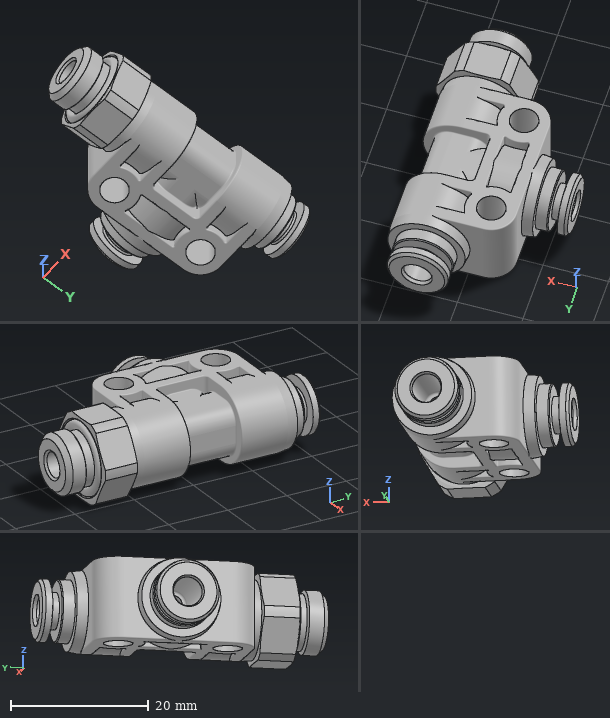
import cadquery as cq
import math


barrel_radius = 6.15
block_reach = 12.15
hole_offset = 8.2
hole_radius = 2.15
boss_radius = block_reach - hole_offset
pocket_half_width = 1.9
pocket_corner_radius = 0.17
edge_round = 0.2

waist_reach = 4.35
waist_bar_round = 2.9
waist_corner_radius = 0.75

port_end = 18.6
release_flange_base = 17.15
collar_end = 15.75
shoulder_end = 13.8
shoulder_radius = 5.9
collar_radius = 4.68
neck_radius = 2.75
neck_root_radius = 2.9
neck_root_length = 0.35
flange_chamfer = 0.45
collar_chamfer = 0.17

passage_radius = 1.5
socket_radius = 2.15
socket_mouth_radius = 2.35
socket_mouth_length = 0.55
socket_floor = 7.9
socket_floor_round = 0.4
stud_bore_radius = 1.97
stud_mouth_radius = 2.3

overall_length = 42.9
stud_end = overall_length - port_end
hex_start = shoulder_end
hex_end = 19.45
hex_across_flats = 13.0
hex_turn = 30
hex_corner_radius = 7.08
hex_face_radius = 6.455
hex_chamfer_length = 0.15
relief_radius = 4.25
thread_radius = 4.8
thread_start = 21.25
thread_run_in = 0.25
thread_chamfer = 0.8

ring_section_radius = 0.77
ring_radius = relief_radius + ring_section_radius
ring_centre_depth = 0.35
ring_station = hex_end - ring_centre_depth
groove_radius = 5.85
groove_chamfer = 0.17


def turned(profile):
    """Revolve (radius, station) points around the Z axis."""
    return cq.Workplane("XZ").polyline(profile).close().revolve(360, (0, 0, 0), (0, 1, 0))


def towards_plus_y(shape):
    return shape.rotate((0, 0, 0), (1, 0, 0), -90)


def towards_minus_y(shape):
    return shape.rotate((0, 0, 0), (1, 0, 0), 90)


def towards_minus_x(shape):
    return shape.rotate((0, 0, 0), (0, 1, 0), -90)


def slab(x_min, x_max, y_min, y_max, half_height):
    """A box that is symmetric about the XY plane."""
    return cq.Workplane("XY").box(
        x_max - x_min, y_max - y_min, 2 * half_height
    ).translate(((x_min + x_max) / 2, (y_min + y_max) / 2, 0))


def make_plate():
    """Mounting block with pockets around the hole bosses and an open waist, edges rounded."""
    plate = slab(-block_reach, 0, -block_reach, block_reach, barrel_radius)
    plate = plate.edges("|Z and <X").fillet(boss_radius)

    inner = hole_offset - pocket_half_width
    outer = hole_offset + pocket_half_width
    pockets = slab(-outer, -inner, -hole_offset, hole_offset, barrel_radius)
    for side in (-1, 1):
        y_low, y_high = sorted((side * inner, side * outer))
        pockets = pockets.union(slab(-hole_offset, 0, y_low, y_high, barrel_radius))
    hole_centres = [(-hole_offset, side * hole_offset) for side in (-1, 1)]
    bosses = (
        cq.Workplane("XY").workplane(offset=-barrel_radius).pushPoints(hole_centres)
        .circle(boss_radius).extrude(2 * barrel_radius)
    )
    pockets = pockets.cut(bosses).edges("|Z and (not >X)").fillet(pocket_corner_radius)
    plate = plate.cut(pockets)

    waist_opening = slab(-waist_reach, waist_reach, -waist_reach, waist_reach, barrel_radius)
    plate = plate.cut(waist_opening.edges("|Z").fillet(waist_corner_radius))

    return plate.faces("<Z or >Z").edges("not >X").fillet(edge_round)


def make_barrel(start):
    """Cylinder from `start` to the block face, with a rounded inner end."""
    barrel = cq.Workplane("XY").workplane(offset=start).circle(barrel_radius).extrude(block_reach - start)
    return barrel.faces("<Z").edges().fillet(edge_round)


def make_shoulder():
    """Short taper where a barrel leaves the block."""
    return turned([
        (0, block_reach), (barrel_radius, block_reach), (shoulder_radius, shoulder_end), (0, shoulder_end),
    ])


def make_push_in_end():
    """Collar, neck and release flange of a tube port."""
    return turned([
        (0, shoulder_end),
        (collar_radius, shoulder_end),
        (collar_radius, collar_end - collar_chamfer),
        (collar_radius - collar_chamfer, collar_end),
        (neck_radius, collar_end),
        (neck_radius, release_flange_base - neck_root_length),
        (neck_root_radius, release_flange_base),
        (collar_radius, release_flange_base),
        (collar_radius, port_end - flange_chamfer),
        (collar_radius - flange_chamfer, port_end),
        (0, port_end),
    ])


def make_waist():
    """Two square bars with well rounded corners, crossing on the main axis."""
    length = waist_reach + edge_round
    along_y = slab(-waist_reach, waist_reach, -length, length, waist_reach)
    along_y = along_y.edges("|Y").fillet(waist_bar_round)
    along_x = slab(-length, 0, -waist_reach, waist_reach, waist_reach)
    along_x = along_x.edges("|X").fillet(waist_bar_round)
    return along_y.union(along_x)


def round_waist_foot(housing):
    """Fillet the corner where the waist bars meet the opening's walls."""
    far = waist_reach + edge_round / 2
    near = waist_reach - edge_round / 2
    wall_zones = [
        ((-far, near, -far), (far, far, far)),
        ((-far, -far, -far), (far, -near, far)),
        ((-far, -far, -far), (-near, far, far)),
    ]
    foot = housing.newObject([])
    for low, high in wall_zones:
        foot = foot.add(housing.edges(cq.selectors.BoxSelector(low, high, boundingbox=True)))
    return foot.fillet(edge_round)


def make_hex():
    """Hexagon with turned-down corners, chamfered at both ends."""
    length = hex_end - hex_start
    prism = (
        cq.Workplane("XY").workplane(offset=hex_start)
        .polygon(6, hex_across_flats, circumscribed=True).extrude(length)
        .rotate((0, 0, 0), (0, 0, 1), hex_turn)
    )
    envelope = turned([
        (0, hex_start),
        (hex_face_radius, hex_start),
        (hex_corner_radius, hex_start + hex_chamfer_length),
        (hex_corner_radius, hex_end - hex_chamfer_length),
        (hex_face_radius, hex_end),
        (0, hex_end),
    ])
    return prism.intersect(envelope)


def make_ring_groove():
    """Recess in the end face of the hex, as deep as the O-ring needs."""
    floor = ring_station - ring_section_radius
    return turned([
        (relief_radius, floor),
        (groove_radius, floor),
        (groove_radius, hex_end - groove_chamfer),
        (groove_radius + groove_chamfer, hex_end),
        (relief_radius, hex_end),
    ])


def make_stud():
    """Relief neck and thread, the thread being a plain cylinder."""
    return turned([
        (0, hex_end),
        (relief_radius, hex_end),
        (relief_radius, thread_start - thread_run_in),
        (thread_radius, thread_start),
        (thread_radius, stud_end - thread_chamfer),
        (thread_radius - thread_chamfer, stud_end),
        (0, stud_end),
    ])


def make_socket():
    """Tube socket with a flared mouth and a rounded floor, and the passage to the origin."""
    floor_round_dip = socket_floor_round * (1 - math.sqrt(0.5))
    return (
        cq.Workplane("XZ").lineTo(passage_radius, 0)
        .lineTo(passage_radius, socket_floor)
        .lineTo(socket_radius - socket_floor_round, socket_floor)
        .threePointArc(
            (socket_radius - floor_round_dip, socket_floor + floor_round_dip),
            (socket_radius, socket_floor + socket_floor_round),
        )
        .lineTo(socket_radius, port_end - socket_mouth_length)
        .lineTo(socket_mouth_radius, port_end)
        .lineTo(0, port_end)
        .close().revolve(360, (0, 0, 0), (0, 1, 0))
    )


def make_stud_bore():
    """Stud bore with a flared mouth, running just past the side passage."""
    return turned([
        (0, -stud_bore_radius),
        (stud_bore_radius, -stud_bore_radius),
        (stud_bore_radius, stud_end - (stud_mouth_radius - stud_bore_radius)),
        (stud_mouth_radius, stud_end),
        (0, stud_end),
    ])


def make_housing():
    housing = make_plate().union(make_waist())
    main_barrel = make_barrel(waist_reach)
    housing = housing.union(towards_plus_y(main_barrel)).union(towards_minus_y(main_barrel))
    housing = housing.union(towards_minus_x(make_barrel(waist_reach)))
    housing = round_waist_foot(housing)

    for turn in (towards_plus_y, towards_minus_y, towards_minus_x):
        housing = housing.union(turn(make_shoulder()))
    for turn in (towards_plus_y, towards_minus_x):
        housing = housing.union(turn(make_push_in_end()))
    housing = housing.union(towards_minus_y(make_hex().cut(make_ring_groove()).union(make_stud())))

    for turn in (towards_plus_y, towards_minus_x):
        housing = housing.cut(turn(make_socket()))
    housing = housing.cut(towards_minus_y(make_stud_bore()))

    for side in (-1, 1):
        hole = cq.Workplane("XY").circle(hole_radius).extrude(block_reach, both=True)
        housing = housing.cut(hole.translate((-hole_offset, side * hole_offset, 0)))
    return housing


def make_o_ring():
    ring = cq.Solid.makeTorus(ring_radius, ring_section_radius, cq.Vector(0, 0, ring_station))
    return towards_minus_y(cq.Workplane(ring))


housing = make_housing()
o_ring = make_o_ring()
result = cq.Compound.makeCompound([housing.val(), o_ring.val()])